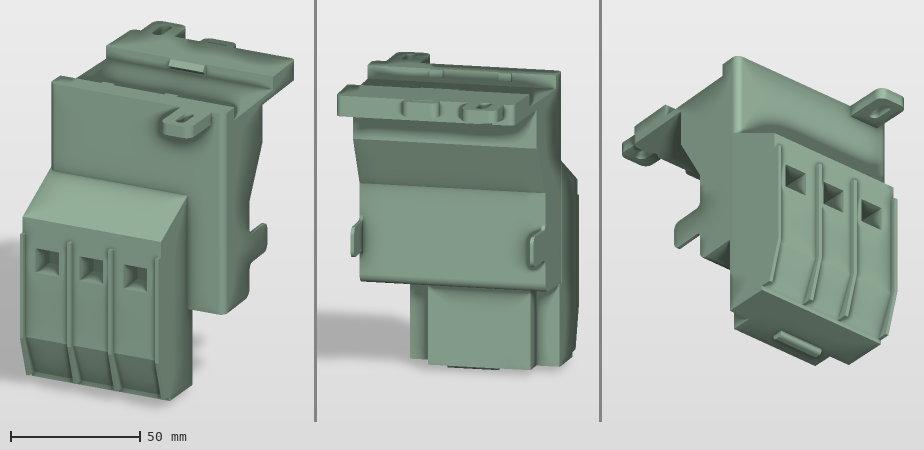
import cadquery as cq


housing_width = 76.0
housing_back = 66.0
side_inset = 2.5
body_back = 35.2
waist_back = 23.3
shoulder_z = -23.6
waist_z = -43.6
plate_bottom = -8.2
housing_bottom = -83.2
front_corner_radius = 2.7
back_corner_radius = 2.4
bottom_edge_radius = 3.8

channel_front = 9.0
channel_back = 45.0
channel_floor = -5.3

hook_left = 30.3
hook_width = 14.9
hook_tip = 42.1
hook_top_reach = 43.7
hook_tip_z = -2.3
hook_root_reach = 44.5
hook_root_z = -4.1

lug_spans = [(18.0, 23.0), (45.3, 50.5)]
lug_reach = 1.5
lug_height = 3.4

tab_thickness = 4.7
tab_corner_radius = 3.3
rear_tab_left = 6.3
rear_tab_width = 14.2
rear_tab_end = 78.7
rear_slot_width = 4.7
rear_slot_back = 75.6
rear_slot_length = 11.1
front_tab_left = 57.1
front_tab_width = 13.4
front_tab_end = -18.4
front_slot_width = 4.3
front_slot_back = -4.6
front_slot_length = 10.5

loop_left = 31.9
loop_width = 14.3
loop_end = 70.7
loop_top = 0
loop_bottom = -5.8
loop_corner_radius = 2.8
loop_hole_width = 8.2
loop_hole_depth = 1.4

tongue_end = 39.6
tongue_top = -58.1
tongue_bottom = -69.9
tongue_thickness = 1.4
tongue_corner_radius = 2.8
tongue_root_radius = 2.1

block_width = 60.0
block_back = 2.4
block_front = -22.6
block_bottom = -116.1
block_top = -35.1
block_slope_end = -47.6
block_lower_bend = -97.2
block_toe_z = -114.2
block_toe_front = -15.0
panel_back = 4.3

fin_width = 1.4
fin_lefts = [0, 20.5, 38.2, block_width - fin_width]
fin_front = -24.9
fin_top = -54.2
fin_toe_front = -19.5

window_size = 10.2
window_left = 5.6
window_pitch = 19.1
window_top = -59.7
window_depth = 11.8
window_count = 3

base_back = 13.2
base_side_margin = 9.5
foot_left = 24.2
foot_width = 20.3
foot_front = 2.3
foot_back = 6.8
foot_bottom = -118.5
foot_edge_radius = 1.4


def box(x0, x1, y0, y1, z0, z1):
    """Block between opposite corner coordinates."""
    return cq.Workplane("XY").box(x1 - x0, y1 - y0, z1 - z0, centered=False).translate((x0, y0, z0))


def side_profile(points, left, width):
    """Extrude a (Y, Z) outline along X."""
    return cq.Workplane("YZ").polyline(points).close().extrude(width).translate((left, 0, 0))


def tapered_plan(bottom):
    """Full-depth housing plan, narrowing to the rear, from the top face down to bottom."""
    plan = [
        (0, 0),
        (housing_width, 0),
        (housing_width - side_inset, housing_back),
        (side_inset, housing_back),
    ]
    prism = cq.Workplane("XY").polyline(plan).close().extrude(bottom)
    prism = prism.edges("|Z and <Y").fillet(front_corner_radius)
    return prism.edges("|Z and >Y").fillet(back_corner_radius)


def housing():
    profile = [
        (0, 0),
        (channel_front, 0),
        (channel_front, channel_floor),
        (channel_back, channel_floor),
        (channel_back, 0),
        (housing_back, 0),
        (housing_back, plate_bottom),
        (body_back, plate_bottom),
        (body_back, shoulder_z),
        (waist_back, waist_z),
        (waist_back, housing_bottom),
        (0, housing_bottom),
    ]
    section = side_profile(profile, 0, housing_width)
    section = section.edges("|X").edges("<Z").edges(">Y").fillet(bottom_edge_radius)
    return section.intersect(tapered_plan(housing_bottom))


def tongues():
    """Thin tongues that continue both tapered side walls rearwards."""
    r = tongue_root_radius
    bar = box(0, housing_width, waist_back - r, tongue_end, tongue_bottom, tongue_top)
    bar = bar.edges("|X and >Y").fillet(tongue_corner_radius)
    for edge_z, direction in ((tongue_top, 1), (tongue_bottom, -1)):
        corner_z = sorted((edge_z, edge_z + direction * r))
        web = box(0, housing_width, waist_back, waist_back + r, *corner_z)
        round_cut = cq.Workplane("YZ").center(waist_back + r, edge_z + direction * r)
        bar = bar.union(web.cut(round_cut.circle(r).extrude(housing_width)))
    plan = tapered_plan(housing_bottom)
    inner = plan.translate((tongue_thickness, 0, 0)).intersect(plan.translate((-tongue_thickness, 0, 0)))
    return bar.intersect(plan).cut(inner)


def rail_hook():
    profile = [
        (channel_back, 0),
        (hook_top_reach, 0),
        (hook_tip, hook_tip_z),
        (hook_root_reach, hook_root_z),
        (hook_root_reach, channel_floor),
        (channel_back, channel_floor),
    ]
    return side_profile(profile, hook_left, hook_width)


def rail_lug(left, right):
    return box(left, right, channel_front, channel_front + lug_reach, -lug_height, 0)


def screw_tab(left, width, root, end, outer_side):
    tab = box(left, left + width, min(root, end), max(root, end), -tab_thickness, 0)
    return tab.edges("|Z and " + outer_side).fillet(tab_corner_radius)


def screw_slot(tab_left, tab_width, back, length, width):
    """Cutter for a rounded slot along Y, centred across its tab and as deep as the plate."""
    slot = cq.Workplane("XY").center(tab_left + tab_width / 2, back - length / 2)
    return slot.slot2D(length, width, 90).extrude(plate_bottom)


def latch_loop():
    loop = box(loop_left, loop_left + loop_width, housing_back, loop_end, loop_bottom, loop_top)
    loop = loop.edges("|Z and >Y").fillet(loop_corner_radius)
    hole_left = loop_left + (loop_width - loop_hole_width) / 2
    hole_right = hole_left + loop_hole_width
    hole_back = housing_back + loop_hole_depth
    return loop.cut(box(hole_left, hole_right, housing_back, hole_back, loop_bottom, loop_top))


def terminal_block():
    profile = [
        (block_back, block_top),
        (block_front, block_slope_end),
        (block_front, block_lower_bend),
        (block_toe_front, block_toe_z),
        (block_toe_front, block_bottom),
        (front_corner_radius, block_bottom),
        (front_corner_radius, housing_bottom),
        (block_back, housing_bottom),
    ]
    block = side_profile(profile, 0, block_width)
    for i in range(window_count):
        left = window_left + i * window_pitch
        window = box(
            left, left + window_size,
            block_front, block_front + window_depth,
            window_top - window_size, window_top,
        )
        block = block.cut(window)
    return block


def fin(left):
    profile = [
        (block_toe_front, fin_top),
        (fin_front, fin_top),
        (fin_front, block_lower_bend),
        (fin_toe_front, block_toe_z),
        (block_toe_front, block_toe_z),
    ]
    return side_profile(profile, left, fin_width)


def lower_panel():
    """Front wall of the housing carried down behind the terminal block."""
    strip = box(0, block_width, front_corner_radius, panel_back, block_bottom, housing_bottom)
    return tapered_plan(block_bottom).intersect(strip)


def rear_base():
    right = block_width - base_side_margin
    return box(base_side_margin, right, block_back, base_back, block_bottom, housing_bottom)


def foot():
    bar = box(foot_left, foot_left + foot_width, foot_front, foot_back, foot_bottom, block_bottom)
    return bar.edges("|X and <Z").fillet(foot_edge_radius)


result = housing().union(tongues()).union(rail_hook()).union(latch_loop())
for lug_left, lug_right in lug_spans:
    result = result.union(rail_lug(lug_left, lug_right))

result = result.union(screw_tab(rear_tab_left, rear_tab_width, channel_back, rear_tab_end, ">Y"))
result = result.union(screw_tab(front_tab_left, front_tab_width, channel_front, front_tab_end, "<Y"))
result = result.cut(
    screw_slot(rear_tab_left, rear_tab_width, rear_slot_back, rear_slot_length, rear_slot_width)
)
result = result.cut(
    screw_slot(front_tab_left, front_tab_width, front_slot_back, front_slot_length, front_slot_width)
)

result = result.union(terminal_block()).union(lower_panel()).union(rear_base()).union(foot())
for fin_left in fin_lefts:
    result = result.union(fin(fin_left))